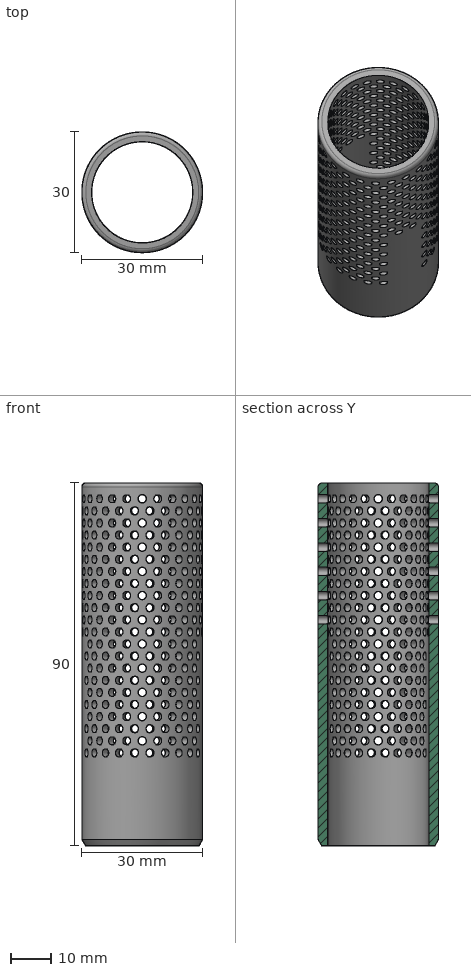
import cadquery as cq

LENGTH = 90.0
OUTER_DIAMETER = 30.0
BORE_DIAMETER = 25.0
TOP_ROUND = 1.0
BOTTOM_CHAMFER_HEIGHT = 1.5
BOTTOM_CHAMFER_INSET = 0.9

HOLE_DIAMETER = 2.0
HOLES_PER_RING = 24
RING_COUNT = 22
TOP_RING_DEPTH = 4.0
PERFORATED_SPAN = 63.0

FULL_RING_COUNT = 12
WINDOW_HALF_ANGLE = 20.0

outer_radius = OUTER_DIAMETER / 2
bore_radius = BORE_DIAMETER / 2
ring_pitch = PERFORATED_SPAN / (RING_COUNT - 1)
hole_angle_step = 360.0 / HOLES_PER_RING


def make_tube():
    """Revolve the wall section about Z: chamfered at the bottom, rounded at the top."""
    shoulder_z = LENGTH - TOP_ROUND
    rim_radius = outer_radius - TOP_ROUND
    section = (
        cq.Workplane("XZ")
        .moveTo(bore_radius, 0)
        .lineTo(outer_radius - BOTTOM_CHAMFER_INSET, 0)
        .lineTo(outer_radius, BOTTOM_CHAMFER_HEIGHT)
        .lineTo(outer_radius, shoulder_z)
        .tangentArcPoint((rim_radius, LENGTH), relative=False)
        .lineTo(bore_radius, LENGTH)
        .close()
    )
    return section.revolve(360, (0, 0, 0), (0, 1, 0))


def in_plain_window(angle):
    """True when a direction, in degrees from +X, lies within a window on either X side."""
    offset_from_x_axis = abs((angle + 90.0) % 180.0 - 90.0)
    return offset_from_x_axis < WINDOW_HALF_ANGLE


def ring_angles(ring):
    """Directions of the holes in one ring; every other ring is turned by half a step."""
    stagger = (ring % 2) * hole_angle_step / 2
    angles = [stagger + i * hole_angle_step for i in range(HOLES_PER_RING)]
    if ring < FULL_RING_COUNT:
        return angles
    return [angle for angle in angles if not in_plain_window(angle)]


def make_hole_cutters():
    """One radial cylinder per hole, running from inside the bore to beyond the outer wall."""
    start_radius = bore_radius - HOLE_DIAMETER
    cutter_length = outer_radius + HOLE_DIAMETER - start_radius
    cutter = cq.Solid.makeCylinder(
        HOLE_DIAMETER / 2, cutter_length, cq.Vector(start_radius, 0, 0), cq.Vector(1, 0, 0)
    )
    cutters = []
    for ring in range(RING_COUNT):
        ring_z = LENGTH - TOP_RING_DEPTH - ring * ring_pitch
        for angle in ring_angles(ring):
            turned = cutter.rotate(cq.Vector(0, 0, 0), cq.Vector(0, 0, 1), angle)
            cutters.append(turned.translate(cq.Vector(0, 0, ring_z)))
    return cutters


tube = make_tube().val()
result = cq.Workplane(tube.cut(*make_hole_cutters()).Solids()[0])